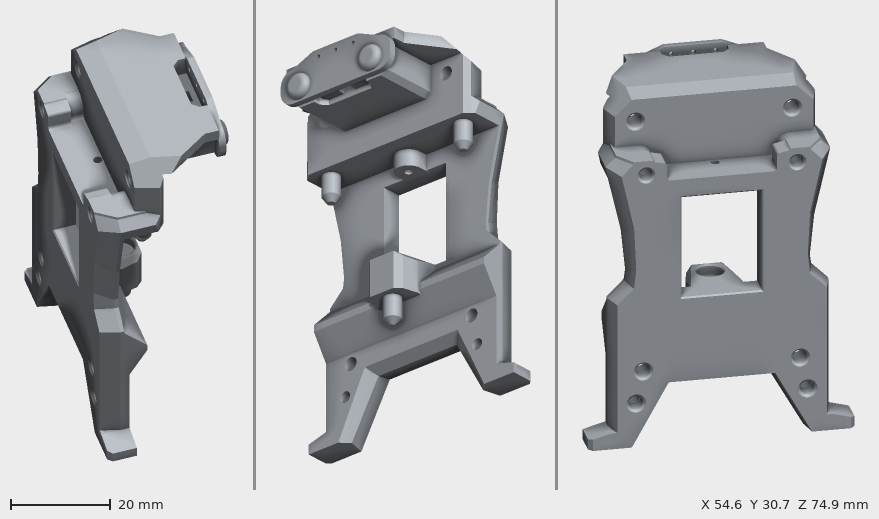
import cadquery as cq
import math


EDGE_DEPTH = 4.05
PLATE_DEPTH = 4.9
LEG_DEPTH = 6.0
LEG_PAD_TOP = 18.9
LEG_PAD_SETBACK = LEG_DEPTH - EDGE_DEPTH
LEG_SIDE_X = 22.7
FOOT_X = 27.3
FOOT_CHAMFER = 0.9
LEG_TOP_OF_FOOT = 3.5
FOOT_TIP_HEIGHT = 2.25

WINDOW_HALF_WIDTH = 8.25
WINDOW_BOTTOM = 32.2
WINDOW_TOP = 54.3
WINDOW_CHAMFER = 0.3

SEAT_BOTTOM = 57.9
LEDGE_TOP = 58.35
WING_TOP = 63.05
WING_REAR = 12.7
LUG_X = 15.5
LUG_Z = 59.9
LUG_DIAMETER = 6.2
CENTER_BOSS_DIAMETER = 6.1
CENTER_BOSS_Y = 6.75
CENTER_BOSS_BOTTOM = 54.2
CENTER_HOLE_DIAMETER = 1.8

TAB_REAR = 15.0
TAB_BOTTOM = 23.8
TAB_HALF_WIDTH = 5.4
TAB_REAR_HALF_WIDTH = 4.5
TAB_CHAMFER = 1.35
TAB_TAPER_START = 10.2
TAB_BORE_DIAMETER = 5.55
TAB_BORE_RIM = 6.2
TAB_BORE_DEPTH = 2.25

SCREW_HOLE_RIM = 4.0
MOUNT_X = 16.1
MOUNT_HOLE_DIAMETER = 3.1
UPPER_MOUNT_Z = 68.4
LOWER_MOUNT_Z = 16.6
LEG_HOLE_X = 17.6
LEG_HOLE_Z = 9.65
NARROW_HOLE_DIAMETER = 2.55
LEG_COUNTERBORE_DIAMETER = 3.0
COUNTERBORE_DEPTH = 3.0
LUG_COUNTERBORE_DIAMETER = 2.8
LUG_HOLE_RIM = 3.6

CARRIER_FRONT = 7.8
CARRIER_REAR = 13.8
CARRIER_TOP = 74.15
CARRIER_FRONT_X = 20.4
CARRIER_SIDE_X = 21.8
CARRIER_REAR_X = 20.7
CARRIER_CORNER_Y = 12.7
FRONT_EDGE_TOP = 73.25
TOP_SLOPE_END = 12.1
CORNER_SUM = 90.2
CORNER_LEAN = 0.26
SHELF_BOTTOM = 71.6
SHELF_REAR = 24.65
SHELF_REAR_HALF_WIDTH = 14.4
ARM_HALF_WIDTH = 12.0
ARM_REAR = 27.6
ARM_BOTTOM = 64.3
ARM_CHAMFER = 1.2

POCKET_HALF_WIDTH = 6.9
POCKET_CORNER_X = 5.6
POCKET_CORNER_Y = 26.05
SENSOR_HALF_WIDTH = 6.3
SENSOR_CORNER_Y = 25.5
SENSOR_SLOT_HALF_WIDTH = 1.5
SENSOR_SLOT_END = 26.4
SENSOR_BOTTOM = 65.5
SENSOR_TOP = 70.4

BOARD_REAR = 29.1
BOARD_TOP = 74.9
BOARD_TOP_X = 6.0
BOARD_HALF_WIDTH = 14.6
BOARD_BOTTOM = 64.85
BOARD_SHOULDER_Z = 72.65
BOARD_CORNER_RADIUS = 3.2
SOLDER_HOLE_DIAMETER = 1.0
SOLDER_HOLE_PITCH = 4.6
SOLDER_HOLE_Z = 73.2
SCREW_X = 9.5
SCREW_Z = 68.1
SCREW_HEAD_DIAMETER = 5.7
SCREW_SHANK_DIAMETER = 3.0
SCREW_SHANK_LENGTH = 6.0
SCREW_HEAD_REAR = 30.7
SCREW_HEAD_FILLET = 1.35

PIN_DIAMETER = 4.0
UPPER_PIN_X = 17.6
UPPER_PIN_Y = 10.25
UPPER_PIN_TIP_Z = 51.75
UPPER_PIN_TIP_DIAMETER = 1.8
UPPER_PIN_TIP_LENGTH = 1.5
UPPER_PIN_TOP = 61.4
LOWER_PIN_Y = 11.7
LOWER_PIN_TIP_Z = 17.6
LOWER_PIN_TIP_DIAMETER = 1.0
LOWER_PIN_TIP_LENGTH = 1.35
LOWER_PIN_TOP = 27.7

SIDES = (-1, 1)
CLEAR = 0.75



def mirrored(half):
    """Close a left-half point list with its mirror image across X = 0."""
    return half + [(-x, v) for x, v in reversed(half)]


def prism_y(points, start, end):
    """Extrude an XZ outline from Y = start to Y = end."""
    return cq.Workplane("XZ", origin=(0, start, 0)).polyline(points).close().extrude(start - end)


def prism_z(points, bottom, top):
    """Extrude an XY outline from Z = bottom to Z = top."""
    return cq.Workplane("XY", origin=(0, 0, bottom)).polyline(points).close().extrude(top - bottom)


def prism_x(points, half_width):
    """Extrude a YZ outline evenly to both sides of X = 0."""
    return cq.Workplane("YZ").polyline(points).close().extrude(half_width, both=True)


def taper_y(start_points, start, end_points, end):
    """Straight-sided loft between two XZ outlines at different Y."""
    wires = [
        cq.Wire.makePolygon([cq.Vector(x, y, z) for x, z in points], close=True)
        for points, y in ((start_points, start), (end_points, end))
    ]
    return cq.Workplane(obj=cq.Solid.makeLoft(wires, True))


def rod_y(diameter, x, z, start, end):
    """Cylinder along +Y."""
    return cq.Workplane(obj=cq.Solid.makeCylinder(
        diameter / 2, end - start, cq.Vector(x, start, z), cq.Vector(0, 1, 0)))


def rod_z(diameter, x, y, bottom, top):
    """Cylinder along +Z."""
    return cq.Workplane(obj=cq.Solid.makeCylinder(diameter / 2, top - bottom, cq.Vector(x, y, bottom)))


def countersink_y(rim, diameter, x, z, start):
    """45 degree cone that narrows from the rim to the hole along +Y."""
    depth = (rim - diameter) / 2
    return cq.Workplane(obj=cq.Solid.makeCone(
        rim / 2, diameter / 2, depth, cq.Vector(x, start, z), cq.Vector(0, 1, 0)))



def carrier_envelope():
    block_half = [
        (-CARRIER_FRONT_X, CARRIER_FRONT),
        (-CARRIER_SIDE_X, CARRIER_CORNER_Y),
        (-CARRIER_REAR_X, CARRIER_REAR),
    ]
    block = prism_z(mirrored(block_half), SEAT_BOTTOM, CARRIER_TOP)
    shelf_half = [
        (-CARRIER_SIDE_X, CARRIER_REAR),
        (-SHELF_REAR_HALF_WIDTH, SHELF_REAR),
        (-SHELF_REAR_HALF_WIDTH, ARM_REAR),
    ]
    shelf = prism_z(mirrored(shelf_half), SHELF_BOTTOM, CARRIER_TOP)
    arm = prism_y(
        mirrored([
            (-ARM_HALF_WIDTH, CARRIER_TOP),
            (-ARM_HALF_WIDTH, ARM_BOTTOM + ARM_CHAMFER),
            (-ARM_HALF_WIDTH + ARM_CHAMFER, ARM_BOTTOM),
        ]),
        CARRIER_REAR, ARM_REAR)
    top_slope = prism_x(
        [(CARRIER_FRONT, FRONT_EDGE_TOP), (TOP_SLOPE_END, CARRIER_TOP), (CARRIER_FRONT, CARRIER_TOP)],
        CARRIER_SIDE_X)
    body = block.union(shelf).union(arm).cut(top_slope)
    for side in SIDES:
        body = body.cut(corner_facet(side))
    return body


def corner_facet(side):
    """Cutting wedge for one upper corner; its sloping face leans outwards to the rear."""
    outer_x = CARRIER_SIDE_X + CLEAR
    upper_z = CARRIER_TOP + CLEAR

    def section(y):
        total = CORNER_SUM + CORNER_LEAN * (y - CARRIER_FRONT)
        return [
            (side * outer_x, total - outer_x),
            (side * (total - upper_z), upper_z),
            (side * outer_x, upper_z),
        ]

    return taper_y(section(CARRIER_FRONT), CARRIER_FRONT, section(SHELF_REAR), SHELF_REAR)


def make_carrier():
    pocket_half = [
        (-POCKET_HALF_WIDTH, ARM_REAR),
        (-POCKET_HALF_WIDTH, POCKET_CORNER_Y),
        (-POCKET_CORNER_X, SHELF_REAR),
    ]
    body = carrier_envelope().cut(prism_z(mirrored(pocket_half), ARM_BOTTOM, CARRIER_TOP))
    for side in SIDES:
        x = side * MOUNT_X
        body = body.cut(rod_y(MOUNT_HOLE_DIAMETER, x, UPPER_MOUNT_Z, CARRIER_FRONT, CARRIER_REAR))
        body = body.cut(countersink_y(SCREW_HOLE_RIM, MOUNT_HOLE_DIAMETER, x, UPPER_MOUNT_Z, CARRIER_FRONT))
        body = body.cut(make_upper_pin(side))
        body = body.cut(make_screw(side))
    return body



FRONT_EDGE = [
    (-10.9, 13.7), (-18.5, 0), (-21.5, 0), (-21.5, 31.75), (-18.05, 35.05), (-17.6, 39.3),
    (-18.05, 48.45), (-20.6, 60.05), (-18.2, 62.5), (-18.0, WING_TOP),
]
REAR_EDGE = [
    (-10.4, 12.7), (-17.5, 0), (-LEG_SIDE_X, 0), (-LEG_SIDE_X, 31.7), (-19.2, 35.2), (-18.9, 37.4),
    (-19.8, 46.2), (-23.1, 60.65), (-21.05, 62.5), (-21.0, WING_TOP),
]


def frame_plate():
    tapered = taper_y(mirrored(FRONT_EDGE), 0, mirrored(REAR_EDGE), EDGE_DEPTH)
    return tapered.union(prism_y(mirrored(REAR_EDGE), EDGE_DEPTH, PLATE_DEPTH)).cut(
        leg_backs_opening())


def leg_backs_opening():
    """Tapered opening between the legs behind EDGE_DEPTH."""
    inner_half = [(-17.5, 0), (-10.4, 12.7)]
    outer_half = [(x - LEG_PAD_SETBACK, z + (LEG_PAD_SETBACK if z else 0)) for x, z in inner_half]
    return taper_y(mirrored(inner_half), EDGE_DEPTH, mirrored(outer_half), LEG_DEPTH)


def leg_pads():
    pad = prism_y(
        mirrored([(-LEG_SIDE_X, 0), (-LEG_SIDE_X, LEG_PAD_TOP)]), EDGE_DEPTH, LEG_DEPTH)
    return pad.cut(leg_backs_opening())


def foot(side):
    inner_x = LEG_SIDE_X - 2 * CLEAR
    profile = [
        (side * inner_x, 0),
        (side * FOOT_X, 0),
        (side * FOOT_X, FOOT_TIP_HEIGHT),
        (side * LEG_SIDE_X, LEG_TOP_OF_FOOT),
        (side * inner_x, LEG_TOP_OF_FOOT),
    ]
    corner = prism_z(
        [(side * FOOT_X, 0), (side * (FOOT_X - FOOT_CHAMFER), 0), (side * FOOT_X, FOOT_CHAMFER)],
        0, LEG_TOP_OF_FOOT)
    return prism_y(profile, 0, LEG_DEPTH).cut(corner)


def wings():
    """Upper part of the frame that runs back beside the carrier."""
    block = prism_y(mirrored(REAR_EDGE), EDGE_DEPTH, WING_REAR)
    wing_x = LEG_SIDE_X + CLEAR
    plan_half = [(-wing_x, EDGE_DEPTH), (-wing_x, 11.0), (-21.3, 13.4)]
    return block.intersect(prism_z(mirrored(plan_half), SEAT_BOTTOM, WING_TOP))


def front_notch():
    """Left half of the opening between the front lugs, with its rounded steps."""
    top = WING_TOP + CLEAR
    return (
        cq.Workplane("XZ").moveTo(0, LEDGE_TOP)
        .lineTo(-10.55, LEDGE_TOP)
        .radiusArc((-11.3, LEDGE_TOP + 0.75), 0.75)
        .lineTo(-11.3, 61.6)
        .radiusArc((-11.8, 62.2), -0.7)
        .lineTo(-13.5, 62.6)
        .radiusArc((-14.1, WING_TOP), 0.75)
        .lineTo(-14.1, top).lineTo(0, top).close()
        .extrude(-PLATE_DEPTH)
    )


def rear_notch():
    """Left half of the opening behind the front lugs, following the round lug bosses."""
    radius = LUG_DIAMETER / 2
    edge_x = LUG_X - radius
    fillet = 0.9
    top = WING_TOP + CLEAR
    diagonal = radius * math.sqrt(0.5)
    return (
        cq.Workplane("XZ", origin=(0, PLATE_DEPTH, 0)).moveTo(0, LEDGE_TOP)
        .lineTo(-edge_x + fillet, LEDGE_TOP)
        .radiusArc((-edge_x, LEDGE_TOP + fillet), fillet)
        .lineTo(-edge_x, LUG_Z)
        .threePointArc((-LUG_X + diagonal, LUG_Z + diagonal), (-LUG_X, LUG_Z + radius))
        .lineTo(-LUG_X, top).lineTo(0, top).close()
        .extrude(PLATE_DEPTH - WING_REAR)
    )


def rear_wedge():
    """Full-width wedge that carries the tab."""
    profile = [(EDGE_DEPTH, 31.1), (PLATE_DEPTH, 31.1), (9.7, 26.2), (9.7, 24.7),
               (LEG_DEPTH, LEG_PAD_TOP), (EDGE_DEPTH, LEG_PAD_TOP)]
    return prism_x(profile, LEG_SIDE_X)


def rear_tab():
    """Tab that narrows to the rear, with bevelled upper side edges."""
    plan_half = [
        (-TAB_HALF_WIDTH, EDGE_DEPTH),
        (-TAB_HALF_WIDTH, TAB_TAPER_START),
        (-TAB_REAR_HALF_WIDTH, TAB_REAR - TAB_CHAMFER),
        (-TAB_REAR_HALF_WIDTH + TAB_CHAMFER, TAB_REAR),
    ]
    tab = prism_z(mirrored(plan_half), TAB_BOTTOM, WINDOW_BOTTOM)
    for side in SIDES:
        tab = tab.cut(tab_bevel(side))
    return tab


def tab_bevel(side):
    """Cutting wedge whose face starts at the plate and closes in along the tab."""
    bevel_bottom = WINDOW_BOTTOM - TAB_CHAMFER
    rear_top_x = TAB_REAR_HALF_WIDTH - TAB_CHAMFER

    def section(top_x):
        return [
            (side * top_x, WINDOW_BOTTOM),
            (side * (top_x + TAB_CHAMFER), bevel_bottom),
            (side * (top_x + TAB_CHAMFER), WINDOW_BOTTOM),
        ]

    return taper_y(section(TAB_HALF_WIDTH), PLATE_DEPTH, section(rear_top_x), TAB_REAR)


def tab_bore():
    rim_depth = (TAB_BORE_RIM - TAB_BORE_DIAMETER) / 2
    bore = rod_z(TAB_BORE_DIAMETER, 0, LOWER_PIN_Y, WINDOW_BOTTOM - TAB_BORE_DEPTH, WINDOW_BOTTOM)
    rim = cq.Solid.makeCone(
        TAB_BORE_DIAMETER / 2, TAB_BORE_RIM / 2, rim_depth,
        cq.Vector(0, LOWER_PIN_Y, WINDOW_BOTTOM - rim_depth))
    return bore.union(cq.Workplane(obj=rim))


def window():
    def outline(grow):
        return mirrored([
            (-WINDOW_HALF_WIDTH - grow, WINDOW_BOTTOM - grow),
            (-WINDOW_HALF_WIDTH - grow, WINDOW_TOP + grow),
        ])

    opening = prism_y(outline(0), 0, PLATE_DEPTH)
    return opening.union(taper_y(outline(WINDOW_CHAMFER), 0, outline(0), WINDOW_CHAMFER))


def frame_holes(side):
    mount_x = side * MOUNT_X
    leg_x = side * LEG_HOLE_X
    lug_x = side * LUG_X
    holes = rod_y(MOUNT_HOLE_DIAMETER, mount_x, LOWER_MOUNT_Z, 0, LEG_DEPTH)
    for cutter in (
        countersink_y(SCREW_HOLE_RIM, MOUNT_HOLE_DIAMETER, mount_x, LOWER_MOUNT_Z, 0),
        rod_y(NARROW_HOLE_DIAMETER, leg_x, LEG_HOLE_Z, 0, LEG_DEPTH),
        rod_y(LEG_COUNTERBORE_DIAMETER, leg_x, LEG_HOLE_Z, 0, COUNTERBORE_DEPTH),
        countersink_y(SCREW_HOLE_RIM, LEG_COUNTERBORE_DIAMETER, leg_x, LEG_HOLE_Z, 0),
        rod_y(NARROW_HOLE_DIAMETER, lug_x, LUG_Z, 0, CARRIER_FRONT),
        rod_y(LUG_COUNTERBORE_DIAMETER, lug_x, LUG_Z, 0, COUNTERBORE_DEPTH),
        countersink_y(LUG_HOLE_RIM, LUG_COUNTERBORE_DIAMETER, lug_x, LUG_Z, 0),
    ):
        holes = holes.union(cutter)
    return holes


def center_boss():
    half_width = CENTER_BOSS_DIAMETER / 2
    web = prism_z(
        mirrored([(-half_width, EDGE_DEPTH), (-half_width, CENTER_BOSS_Y)]), CENTER_BOSS_BOTTOM, SEAT_BOTTOM)
    return web.union(rod_z(CENTER_BOSS_DIAMETER, 0, CENTER_BOSS_Y, CENTER_BOSS_BOTTOM, SEAT_BOTTOM))


def make_frame():
    body = frame_plate().union(leg_pads()).union(wings())
    for notch in (front_notch(), rear_notch()):
        body = body.cut(notch).cut(notch.mirror("YZ"))
    body = body.cut(carrier_envelope())
    body = body.union(rear_wedge()).union(rear_tab()).cut(window()).union(center_boss())
    body = body.cut(rod_z(CENTER_HOLE_DIAMETER, 0, CENTER_BOSS_Y, CENTER_BOSS_BOTTOM, LEDGE_TOP))
    for side in SIDES:
        body = body.union(foot(side)).cut(frame_holes(side))
    return body.cut(tab_bore()).cut(make_lower_pin())



def make_board():
    shoulder_x = BOARD_HALF_WIDTH - BOARD_CORNER_RADIUS
    radius = BOARD_CORNER_RADIUS
    board = (
        cq.Workplane("XZ", origin=(0, ARM_REAR, 0)).moveTo(-BOARD_TOP_X, BOARD_TOP)
        .lineTo(-shoulder_x, BOARD_SHOULDER_Z)
        .radiusArc((-BOARD_HALF_WIDTH, BOARD_SHOULDER_Z - radius), -radius)
        .lineTo(-BOARD_HALF_WIDTH, BOARD_BOTTOM + radius)
        .radiusArc((-shoulder_x, BOARD_BOTTOM), -radius)
        .lineTo(shoulder_x, BOARD_BOTTOM)
        .radiusArc((BOARD_HALF_WIDTH, BOARD_BOTTOM + radius), -radius)
        .lineTo(BOARD_HALF_WIDTH, BOARD_SHOULDER_Z - radius)
        .radiusArc((shoulder_x, BOARD_SHOULDER_Z), -radius)
        .lineTo(BOARD_TOP_X, BOARD_TOP).close()
        .extrude(ARM_REAR - BOARD_REAR)
    )
    for column in (-1, 0, 1):
        x = column * SOLDER_HOLE_PITCH
        board = board.cut(rod_y(SOLDER_HOLE_DIAMETER, x, SOLDER_HOLE_Z, ARM_REAR, BOARD_REAR))
    for side in SIDES:
        board = board.cut(make_screw(side))
    return board


def make_sensor():
    plan_half = [
        (-SENSOR_SLOT_HALF_WIDTH, SENSOR_SLOT_END),
        (-SENSOR_SLOT_HALF_WIDTH, SHELF_REAR),
        (-POCKET_CORNER_X, SHELF_REAR),
        (-SENSOR_HALF_WIDTH, SENSOR_CORNER_Y),
        (-SENSOR_HALF_WIDTH, ARM_REAR),
    ]
    return prism_z(mirrored(plan_half), SENSOR_BOTTOM, SENSOR_TOP)



def make_screw(side):
    """Button-head screw that holds the board to the arm."""
    x = side * SCREW_X
    head = rod_y(SCREW_HEAD_DIAMETER, x, SCREW_Z, BOARD_REAR, SCREW_HEAD_REAR)
    head = head.faces(">Y").edges().fillet(SCREW_HEAD_FILLET)
    return head.union(rod_y(SCREW_SHANK_DIAMETER, x, SCREW_Z, BOARD_REAR - SCREW_SHANK_LENGTH, BOARD_REAR))


def make_pin(x, y, tip_z, tip_diameter, tip_length, top):
    """Upright pin with a conical lower end."""
    shoulder = tip_z + tip_length
    tip = cq.Solid.makeCone(tip_diameter / 2, PIN_DIAMETER / 2, tip_length, cq.Vector(x, y, tip_z))
    return rod_z(PIN_DIAMETER, x, y, shoulder, top).union(cq.Workplane(obj=tip))


def make_upper_pin(side):
    return make_pin(side * UPPER_PIN_X, UPPER_PIN_Y, UPPER_PIN_TIP_Z, UPPER_PIN_TIP_DIAMETER,
                    UPPER_PIN_TIP_LENGTH, UPPER_PIN_TOP)


def make_lower_pin():
    return make_pin(0, LOWER_PIN_Y, LOWER_PIN_TIP_Z, LOWER_PIN_TIP_DIAMETER,
                    LOWER_PIN_TIP_LENGTH, LOWER_PIN_TOP)



frame = make_frame()
carrier = make_carrier()
board = make_board()
sensor = make_sensor()
screws = [make_screw(side) for side in SIDES]
upper_pins = [make_upper_pin(side) for side in SIDES]
lower_pin = make_lower_pin()

bodies = [frame, carrier, board, sensor, *screws, *upper_pins, lower_pin]
result = cq.Compound.makeCompound([body.solids().val() for body in bodies])